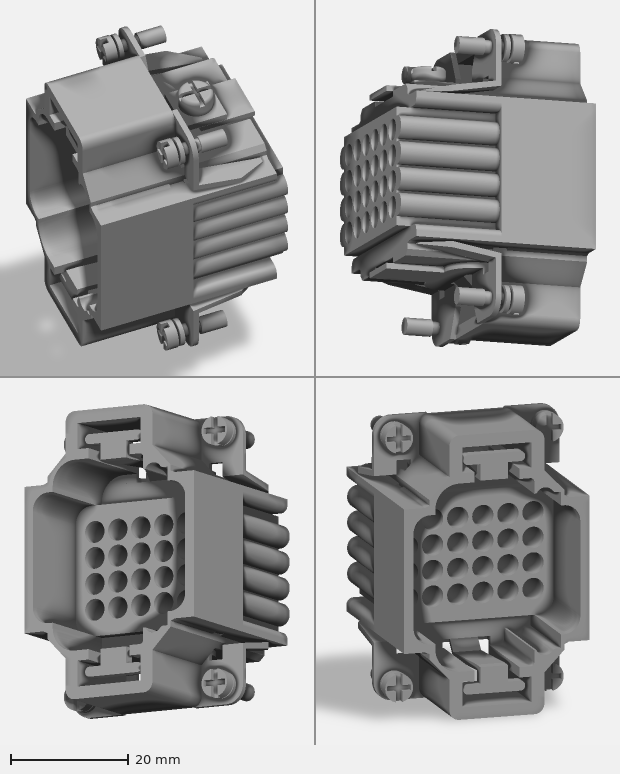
import cadquery as cq
WIDTH = 33.25
DEPTH = 35.0
HEIGHT = 50.0
HALF_WIDTH = WIDTH / 2
HALF_HEIGHT = HEIGHT / 2

SHROUD_DEPTH = 17.1
REAR_DEPTH = 32.55
SIDE_TOP = 12.7
FOOT_RISE = 0.35
FOOT_RUN = 0.8
FOOT_LENGTH = 14.5
TOWER_BASE_X = 12.1
TOWER_KNEE_Z = 14.05
TOWER_X = 8.5
TOWER_SHOULDER_Z = 17.8
TOWER_RADIUS = 1.75
REAR_TOP = 15.0
REAR_SIDE_RADIUS = 1.25

POCKET_X = 14.95
POCKET_Z = 11.35
POCKET_RADIUS = 3.0
POCKET_DEPTH = 15.0
RECESS_LEFT = -11.05
RECESS_RIGHT = 11.5
RECESS_TOP = 16.55
KEY_WALL_X = 6.7
KEY_FLOOR_Z = 13.75
KEY_CREST_X = 8.65
KEY_CREST_Z = 14.75
KEY_FOOT_X = 10.2
KEY_FOOT_RADIUS = 0.75
RECESS_CORNER_RADIUS = 0.7
SHOULDER_RADIUS = 4.3
NECK_X = 4.05
WINDOW_X = 6.2
WINDOW_BOTTOM = 18.35
WINDOW_TOP = 22.85

CORE_X = 13.5
CORE_Z = 10.35
PITCH = 4.5
COLUMNS = 6
ROWS = 4
CONTACT_DIAMETER = 3.8
FLUTE_WIDTH = 4.0
FLUTE_X = 15.7
FLUTE_RADIUS = 1.9

GROOVE_X = 4.75
GROOVE_START = 23.25
GROOVE_DEPTH = 1.0

SHEET = 1.0
PLATE_BACK = SHROUD_DEPTH + SHEET
PLATE_RADIUS = 3.25
LEG_X = 12.6
SLOT_TOP = 17.1
LEG_END = 31.2
LEG_TAPER_START = 25.95
LEG_TAPER_X = 13.6
LEG_TOP_Z = 15.45
LEG_BOTTOM_Z = 13.1
LEG_DROP = 0.16
SHELF_X = 10.0
SHELF_RADIUS = 5.15
TAB_X = 4.35
TAB_END = 33.6
GAP_X = 4.3
GAP_KNEE_Z = 19.85
GAP_TOP_X = 7.0
GAP_BACK = 19.0
TONGUE_X = 2.5
TONGUE_BEND_Y = 16.75
TONGUE_BEND_Z = 17.3
TONGUE_TIP_Z = 16.4
TEE_FRONT = 1.5
TEE_DEPTH = 2.0
TEE_X = 5.55
TEE_BOTTOM = 19.3
TEE_TOP = 21.05

TERMINAL_Y = 24.5
WASHER_THICKNESS = 1.25
WASHER_X = 4.3
WASHER_LENGTH = 8.0
TERMINAL_DIAMETER = 6.0
TERMINAL_HEIGHT = 3.1
TERMINAL_FILLET = 0.65
TERMINAL_SLOT = 0.9
TERMINAL_SLOT_DEPTH = 1.0

SCREW_X = 13.5
SCREW_Z = 21.9
HEAD_FRONT = 12.65
HEAD_BACK = 14.7
HEAD_DIAMETER = 5.0
SCREW_SLOT = 1.2
SCREW_SLOT_DEPTH = 1.15
CROSS_LENGTH = 4.3
CROSS_WIDTH = 1.05
RING_FRONT = 15.15
RING_BACK = 15.95
RING_DIAMETER = 4.8
SHANK_DIAMETER = 2.3
THREAD_FRONT = 19.4
THREAD_BACK = 24.1
THREAD_DIAMETER = 3.0


def box(x0, x1, y0, y1, z0, z1):
    """Box between two opposite corners."""
    return cq.Workplane("XY").box(x1 - x0, y1 - y0, z1 - z0, centered=False).translate((x0, y0, z0))


def front_sketch(y):
    """Workplane at depth y whose axes are X and Z; a positive extrusion goes towards -Y."""
    return cq.Workplane("XZ", origin=(0, y, 0))


def rod(diameter, y0, y1, x=0, z=0):
    """Cylinder along Y."""
    return front_sketch(y1).center(x, z).circle(diameter / 2).extrude(y1 - y0)


def with_mirror_x(shape):
    return shape.union(shape.mirror("YZ"))


def with_mirror_z(shape):
    return shape.union(shape.mirror("XY"))


def tower(y0, y1):
    """Upper tower, from the middle of the housing up to the top."""
    half = [(TOWER_BASE_X, 0), (TOWER_BASE_X, TOWER_KNEE_Z), (TOWER_X, TOWER_SHOULDER_Z), (TOWER_X, HALF_HEIGHT)]
    other_half = [(-x, z) for x, z in reversed(half)]
    solid = front_sketch(y1).polyline(half + other_half).close().extrude(y1 - y0)
    return solid.edges("|Y and >Z").fillet(TOWER_RADIUS)


def tower_feet(y0, y1):
    """Small ramps along the bottom of both tower flanks."""
    points = [
        (TOWER_BASE_X, SIDE_TOP),
        (TOWER_BASE_X + FOOT_RUN, SIDE_TOP),
        (TOWER_BASE_X, SIDE_TOP + FOOT_RISE),
    ]
    return with_mirror_x(front_sketch(y1).polyline(points).close().extrude(y1 - y0))


def shroud():
    sides = box(-HALF_WIDTH, HALF_WIDTH, 0, SHROUD_DEPTH, -SIDE_TOP, SIDE_TOP)
    tower_with_feet = tower(0, SHROUD_DEPTH).union(tower_feet(0, FOOT_LENGTH))
    return sides.union(with_mirror_z(tower_with_feet))


def rear_block():
    """Rear side walls, rear of the towers and the contact block with its flutes."""
    side = box(-HALF_WIDTH, HALF_WIDTH, SHROUD_DEPTH, REAR_DEPTH, CORE_Z, SIDE_TOP)
    side = side.edges("|Y and <Z").fillet(REAR_SIDE_RADIUS)
    level_cut = box(-HALF_WIDTH, HALF_WIDTH, SHROUD_DEPTH, REAR_DEPTH, REAR_TOP, HEIGHT)
    groove = box(-GROOVE_X, GROOVE_X, GROOVE_START, REAR_DEPTH, REAR_TOP - GROOVE_DEPTH, HEIGHT)
    upper = side.union(tower(SHROUD_DEPTH, REAR_DEPTH)).cut(level_cut).cut(groove)
    upper = upper.union(tower_feet(SHROUD_DEPTH, REAR_DEPTH))
    block = with_mirror_z(upper).union(box(-CORE_X, CORE_X, SHROUD_DEPTH, DEPTH, -CORE_Z, CORE_Z))
    for row in range(ROWS):
        z = (row - (ROWS - 1) / 2) * PITCH
        flute = box(-FLUTE_X, FLUTE_X, SHROUD_DEPTH, DEPTH, z - FLUTE_WIDTH / 2, z + FLUTE_WIDTH / 2)
        block = block.union(flute.edges("|Y").fillet(FLUTE_RADIUS))
    return block


def pocket_shape(y0, y1):
    """Rounded rectangle of the mating pocket between two depths."""
    return (
        front_sketch(y1)
        .rect(2 * POCKET_X, 2 * POCKET_Z)
        .extrude(y1 - y0)
        .edges("|Y")
        .fillet(POCKET_RADIUS)
    )


def keyed_recess():
    """Recess in the upper tower: round left shoulder, wavy key on the right, window above."""
    outline = (
        front_sketch(SHROUD_DEPTH)
        .moveTo(RECESS_LEFT, 0)
        .lineTo(RECESS_LEFT, RECESS_TOP - SHOULDER_RADIUS)
        .radiusArc((RECESS_LEFT + SHOULDER_RADIUS, RECESS_TOP), SHOULDER_RADIUS)
        .lineTo(KEY_WALL_X, RECESS_TOP)
        .lineTo(KEY_WALL_X, KEY_FLOOR_Z)
        .lineTo(2 * KEY_CREST_X - KEY_FOOT_X, KEY_FLOOR_Z)
        .threePointArc((KEY_CREST_X, KEY_CREST_Z), (KEY_FOOT_X, KEY_FLOOR_Z))
        .lineTo(RECESS_RIGHT, KEY_FLOOR_Z)
        .lineTo(RECESS_RIGHT, 0)
        .close()
        .extrude(SHROUD_DEPTH)
    )
    mid_depth = SHROUD_DEPTH / 2
    corner_at = cq.selectors.NearestToPointSelector((KEY_WALL_X, mid_depth, RECESS_TOP))
    foot_at = cq.selectors.NearestToPointSelector((KEY_FOOT_X, mid_depth, KEY_FLOOR_Z))
    outline = outline.edges(corner_at).fillet(RECESS_CORNER_RADIUS)
    outline = outline.edges(foot_at).fillet(KEY_FOOT_RADIUS)
    neck = box(-NECK_X, NECK_X, 0, SHROUD_DEPTH, REAR_TOP, WINDOW_TOP)
    window = box(-WINDOW_X, WINDOW_X, 0, SHROUD_DEPTH, WINDOW_BOTTOM, WINDOW_TOP)
    return outline.union(neck).union(window)


def make_housing():
    recesses = with_mirror_z(keyed_recess())
    pocket = pocket_shape(0, POCKET_DEPTH)
    contact_face = pocket_shape(POCKET_DEPTH, SHROUD_DEPTH)
    body = shroud().cut(recesses).cut(pocket).union(contact_face).union(rear_block())
    contacts = (
        front_sketch(DEPTH)
        .rarray(PITCH, PITCH, COLUMNS, ROWS)
        .circle(CONTACT_DIAMETER / 2)
        .extrude(DEPTH)
    )
    return body.cut(contacts)


def flange():
    """Upright sheet with screw holes, leg slots and a flared gap for the tongue."""
    sheet = box(-HALF_WIDTH, HALF_WIDTH, SHROUD_DEPTH, PLATE_BACK, REAR_TOP, HALF_HEIGHT)
    sheet = sheet.edges("|Y and >Z").fillet(PLATE_RADIUS)
    gap = (
        front_sketch(PLATE_BACK)
        .polyline([
            (-GAP_X, REAR_TOP), (GAP_X, REAR_TOP), (GAP_X, GAP_KNEE_Z), (GAP_TOP_X, HALF_HEIGHT),
            (-GAP_TOP_X, HALF_HEIGHT), (-GAP_X, GAP_KNEE_Z),
        ])
        .close()
        .extrude(SHEET)
    )
    slot = with_mirror_x(box(SHELF_X, LEG_X, SHROUD_DEPTH, PLATE_BACK, REAR_TOP, SLOT_TOP))
    holes = with_mirror_x(rod(SHANK_DIAMETER, SHROUD_DEPTH, PLATE_BACK, SCREW_X, SCREW_Z))
    return sheet.cut(gap).cut(slot).cut(holes)


def leg():
    """Right leg: slopes down from the flange over the rear side wall, with a tapered end."""
    def leg_top(y):
        return LEG_TOP_Z - LEG_DROP * (y - PLATE_BACK)

    side_view = [
        (SHROUD_DEPTH, REAR_TOP),
        (PLATE_BACK, LEG_TOP_Z),
        (LEG_END, leg_top(LEG_END)),
        (LEG_END, LEG_BOTTOM_Z),
        (LEG_TAPER_START, LEG_BOTTOM_Z),
        (SHROUD_DEPTH, leg_top(SHROUD_DEPTH) - SHEET),
    ]
    bar = cq.Workplane("YZ", origin=(LEG_X, 0, 0)).polyline(side_view).close().extrude(HALF_WIDTH - LEG_X)
    taper = (
        cq.Workplane("XY")
        .polyline([(LEG_TAPER_X, LEG_END), (HALF_WIDTH, LEG_END), (HALF_WIDTH, LEG_TAPER_START)])
        .close()
        .extrude(HALF_HEIGHT)
    )
    return bar.cut(taper)


def shelf():
    """Level sheet on the tower rear: rounded shoulders and a long tab."""
    straight = box(-SHELF_X, SHELF_X, SHROUD_DEPTH, PLATE_BACK + SHELF_RADIUS, REAR_TOP, REAR_TOP + SHEET)
    rounded = straight.edges("|Z and >Y").fillet(SHELF_RADIUS)
    tab = box(-TAB_X, TAB_X, PLATE_BACK, TAB_END, REAR_TOP, REAR_TOP + SHEET)
    gap = box(-GAP_X, GAP_X, SHROUD_DEPTH, GAP_BACK, REAR_TOP, REAR_TOP + SHEET)
    return rounded.union(tab).cut(gap)


def tongue():
    """Spring tongue running forward from the shelf to an upright T-shaped tip."""
    inner = [
        (GAP_BACK, REAR_TOP),
        (TONGUE_BEND_Y, TONGUE_BEND_Z),
        (TEE_FRONT + TEE_DEPTH, TONGUE_TIP_Z),
        (TEE_FRONT, TONGUE_TIP_Z),
    ]
    outer = [(y, z + SHEET) for y, z in reversed(inner)]
    strip = (
        cq.Workplane("YZ", origin=(-TONGUE_X, 0, 0))
        .polyline(inner + outer)
        .close()
        .extrude(2 * TONGUE_X)
    )
    stem = box(-TONGUE_X, TONGUE_X, TEE_FRONT, TEE_FRONT + TEE_DEPTH, TONGUE_TIP_Z, TEE_TOP)
    bar_height = TEE_TOP - TEE_BOTTOM
    bar = (
        front_sketch(TEE_FRONT + TEE_DEPTH)
        .center(0, (TEE_TOP + TEE_BOTTOM) / 2)
        .slot2D(2 * TEE_X, bar_height)
        .extrude(TEE_DEPTH)
    )
    return strip.union(stem).union(bar)


def plate():
    return flange().union(with_mirror_x(leg())).union(shelf()).union(tongue())


def earth_terminal():
    """Square washer and cross-slotted screw head standing on the tab."""
    washer_bottom = REAR_TOP + SHEET
    washer = (
        cq.Workplane("XY", origin=(0, TERMINAL_Y, washer_bottom))
        .rect(2 * WASHER_X, WASHER_LENGTH)
        .extrude(WASHER_THICKNESS)
    )
    head = (
        cq.Workplane("XY", origin=(0, TERMINAL_Y, washer_bottom + WASHER_THICKNESS))
        .circle(TERMINAL_DIAMETER / 2)
        .extrude(TERMINAL_HEIGHT)
        .faces(">Z")
        .edges()
        .fillet(TERMINAL_FILLET)
    )
    slots = (
        cq.Workplane("XY", origin=(0, TERMINAL_Y, washer_bottom + WASHER_THICKNESS + TERMINAL_HEIGHT))
        .rect(TERMINAL_DIAMETER, TERMINAL_SLOT)
        .extrude(-TERMINAL_SLOT_DEPTH)
    )
    crossing_slot = slots.rotate((0, TERMINAL_Y, 0), (0, TERMINAL_Y, 1), 90)
    return washer.union(head.cut(slots).cut(crossing_slot))


def make_upper_plate():
    return plate().union(earth_terminal())


def make_lower_plate():
    return plate().mirror("XY")


def make_mounting_screw(x, z):
    slot_back = HEAD_FRONT + SCREW_SLOT_DEPTH
    half_slot = SCREW_SLOT / 2
    half_length = CROSS_LENGTH / 2
    half_width = CROSS_WIDTH / 2
    head = rod(HEAD_DIAMETER, HEAD_FRONT, HEAD_BACK)
    head = head.cut(box(-half_slot, half_slot, HEAD_FRONT, slot_back, -HEAD_DIAMETER, HEAD_DIAMETER))
    head = head.cut(box(-half_length, half_length, HEAD_FRONT, slot_back, -half_width, half_width))
    ring = rod(RING_DIAMETER, RING_FRONT, RING_BACK)
    shank = rod(SHANK_DIAMETER, HEAD_BACK, THREAD_FRONT)
    thread = rod(THREAD_DIAMETER, THREAD_FRONT, THREAD_BACK)
    return head.union(shank).union(ring).union(thread).translate((x, 0, z))


housing = make_housing()
upper_plate = make_upper_plate()
lower_plate = make_lower_plate()
mounting_screws = [
    make_mounting_screw(x, z)
    for x in (-SCREW_X, SCREW_X)
    for z in (-SCREW_Z, SCREW_Z)
]

result = cq.Compound.makeCompound([
    housing.val(),
    upper_plate.val(),
    lower_plate.val(),
    *[screw.val() for screw in mounting_screws],
])